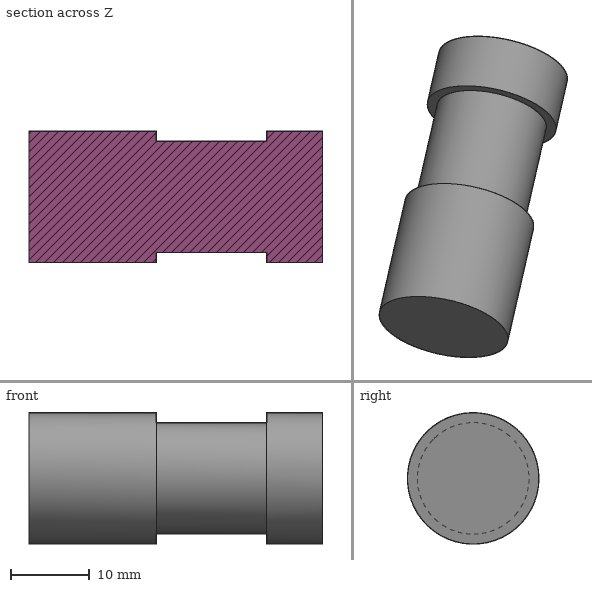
import cadquery as cq

length = 37.25
body_diameter = 16.7
neck_diameter = 14.15
long_end_length = 16.17
short_end_length = 7.1
neck_length = length - long_end_length - short_end_length


def cylinder_along_x(start, cylinder_length, diameter):
    """Solid cylinder on the X axis, growing toward +X from start."""
    return (
        cq.Workplane("YZ", origin=(start, 0, 0))
        .circle(diameter / 2)
        .extrude(cylinder_length)
    )


long_end_start = -length / 2
neck_start = long_end_start + long_end_length
short_end_start = neck_start + neck_length

long_end = cylinder_along_x(long_end_start, long_end_length, body_diameter)
neck = cylinder_along_x(neck_start, neck_length, neck_diameter)
short_end = cylinder_along_x(short_end_start, short_end_length, body_diameter)

result = long_end.union(neck).union(short_end)